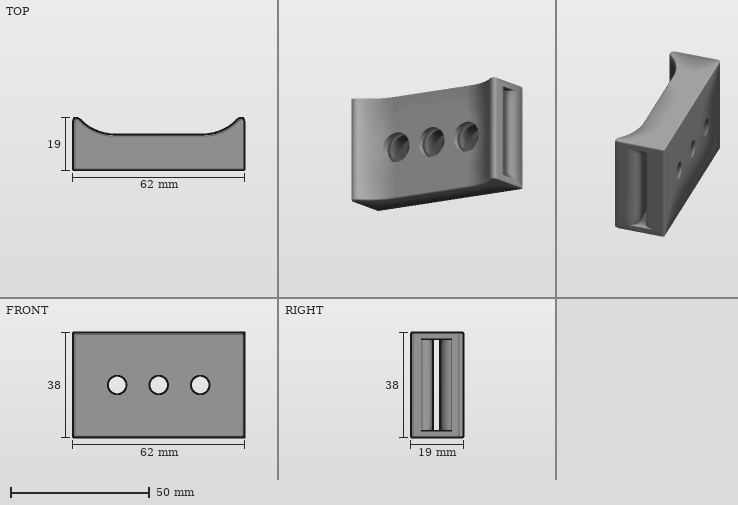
import cadquery as cq
import math

length = 62.0
depth = 19.0
height = 38.0
edge_radius = 0.6

saddle_floor = 13.0
saddle_flat = 32.0
saddle_radius = 17.0

crown_radius = 2.2
side_radius = 3.0
tip_corner_inset = 0.5

channel_center_y = 9.25
channel_width = 2.5
channel_height = 33.0
flare_radius = 4.0

hole_diameter = 6.6
hole_pitch = 15.0
hole_count = 3
hole_seat_y = 2.0
recess_diameter = 11.0

half_length = length / 2
half_flat = saddle_flat / 2


def on_circle(center, radius, angle):
    """Point on a circle, angle in radians counterclockwise from +X."""
    return (center[0] + radius * math.cos(angle), center[1] + radius * math.sin(angle))


def flip_x(point):
    return (-point[0], point[1])


def flip_y(point):
    return (point[0], -point[1])


def make_body():
    saddle_center = (half_flat, saddle_floor + saddle_radius)
    crown_y = depth - crown_radius
    center_drop = saddle_center[1] - crown_y
    crown_x = half_flat + math.sqrt((saddle_radius + crown_radius) ** 2 - center_drop**2)
    crown_center = (crown_x, crown_y)

    floor_angle = -math.pi / 2
    saddle_angle = -math.atan2(center_drop, crown_x - half_flat)
    saddle_start = (half_flat, saddle_floor)
    saddle_middle = on_circle(saddle_center, saddle_radius, (floor_angle + saddle_angle) / 2)
    saddle_end = on_circle(saddle_center, saddle_radius, saddle_angle)

    corner_x = half_length - tip_corner_inset
    crown_angle = math.acos((corner_x - crown_x) / crown_radius)
    crown_top = (crown_x, depth)
    corner = on_circle(crown_center, crown_radius, crown_angle)

    side_angle = math.acos(1 - tip_corner_inset / side_radius)
    side_center = (half_length - side_radius, corner[1] - side_radius * math.sin(side_angle))
    side_middle = on_circle(side_center, side_radius, side_angle / 2)
    side_end = (half_length, side_center[1])

    return (
        cq.Workplane("XY")
        .moveTo(-half_length, 0)
        .lineTo(half_length, 0)
        .lineTo(*side_end)
        .threePointArc(side_middle, corner)
        .threePointArc(crown_top, saddle_end)
        .threePointArc(saddle_middle, saddle_start)
        .lineTo(*flip_x(saddle_start))
        .threePointArc(flip_x(saddle_middle), flip_x(saddle_end))
        .threePointArc(flip_x(crown_top), flip_x(corner))
        .threePointArc(flip_x(side_middle), flip_x(side_end))
        .close()
        .extrude(height)
    )


def round_edges(body):
    """Round the front, top and bottom edges, leaving those of the +X end face and its side arc sharp."""
    front = body.faces("<Y").edges()
    corner_x = half_length - tip_corner_inset
    outline = body.faces("<Z or >Z").edges().filter(lambda e: e.Center().x < corner_x)
    return front.add(outline).fillet(edge_radius)


def make_channel():
    half_width = channel_width / 2
    flare_start = (half_length - flare_radius, half_width)
    flare_center = (half_length - flare_radius, half_width + flare_radius)
    flare_middle = on_circle(flare_center, flare_radius, -math.pi / 4)
    flare_end = (half_length, half_width + flare_radius)
    return (
        cq.Workplane("XY", origin=(0, channel_center_y, (height - channel_height) / 2))
        .moveTo(*flip_x(flare_end))
        .threePointArc(flip_x(flare_middle), flip_x(flare_start))
        .lineTo(*flare_start)
        .threePointArc(flare_middle, flare_end)
        .lineTo(*flip_y(flare_end))
        .threePointArc(flip_y(flare_middle), flip_y(flare_start))
        .lineTo(*flip_x(flip_y(flare_start)))
        .threePointArc(flip_x(flip_y(flare_middle)), flip_x(flip_y(flare_end)))
        .close()
        .extrude(channel_height)
    )


def make_screw_hole(x):
    axis = cq.Workplane("XZ", origin=(x, 0, height / 2))
    hole = axis.circle(hole_diameter / 2).extrude(-depth)
    recess = axis.workplane(offset=-hole_seat_y).circle(recess_diameter / 2).extrude(-depth)
    return hole.union(recess)


def build():
    part = round_edges(make_body()).cut(make_channel())
    first_x = -(hole_count - 1) / 2 * hole_pitch
    for index in range(hole_count):
        part = part.cut(make_screw_hole(first_x + index * hole_pitch))
    return part


result = build()